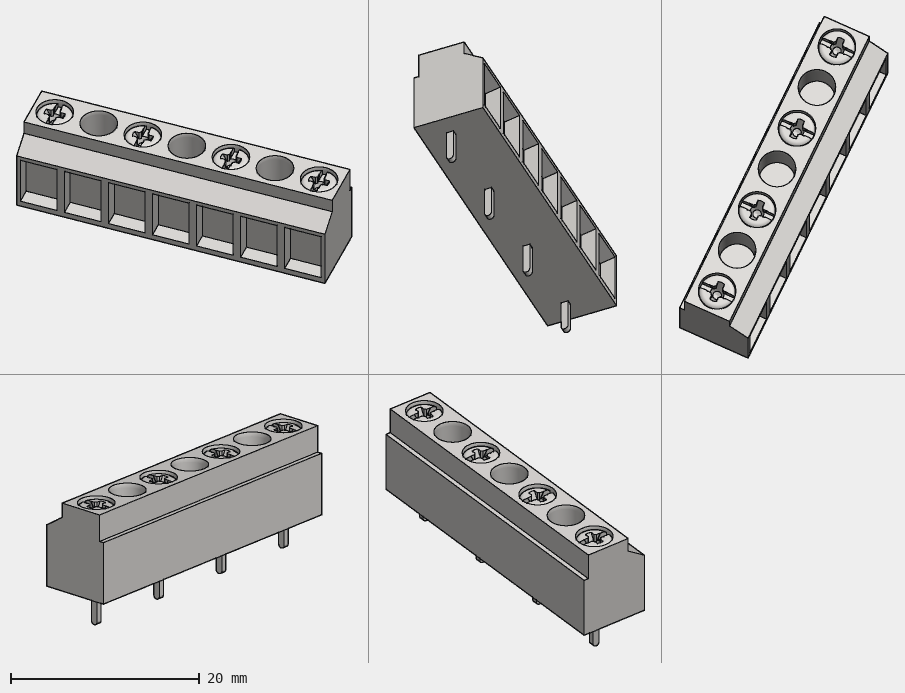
import cadquery as cq
import math

length = 35
depth = 8.0
height = 10.0
poles = 7
pitch = length / poles
shelf_height = 7.0
rear_step = 0.55
front_setback = 2.17
slope_top = 8.4

pocket_width = 4.13
pocket_floor = 0.7
pocket_ceiling = 6.5
pocket_depth = 1.7
ceiling_drop = 0.3

screw_y = 4.8
mouth_radius = 4.0 / 2
bore_radius = 3.85 / 2
mouth_depth = 0.5
bore_top = height - mouth_depth

clamp_top = 6.15
clamp_rear = screw_y + bore_radius

head_flat_radius = 1.45
head_crown = 0.28
head_top = bore_top + head_crown

slot_width = 0.65
slot_depth = 0.75
cross_arm_width = 0.75
cross_reach = 1.12
cross_core_radius = 0.65
cross_tip_radius = 0.45
cross_half_angle = math.radians(26.5)
cross_taper_depth = (cross_reach - cross_tip_radius) / math.tan(cross_half_angle)
cross_tip_height = 0.25
cross_depth = cross_taper_depth + cross_tip_height

pin_width = 0.65
pin_thickness = 0.8
pin_length = 3.78

pole_positions = [(i + 0.5) * pitch for i in range(poles)]
terminal_positions = pole_positions[::2]


def spin(half_profile):
    """Solid of revolution about the Z axis from a closed half profile in the XZ plane."""
    return half_profile.revolve(360, (0, 0), (0, 1))


def make_pocket(x):
    """Wire entry pocket with a ceiling that slopes down towards its back wall."""
    outline = [
        (0, pocket_floor),
        (pocket_depth, pocket_floor),
        (pocket_depth, pocket_ceiling - ceiling_drop),
        (0, pocket_ceiling),
    ]
    start = cq.Workplane("YZ", origin=(x - pocket_width / 2, 0, 0))
    return start.polyline(outline).close().extrude(pocket_width)


def make_opening(x):
    """Round opening in the top: straight bore with a flared mouth."""
    half_profile = (
        cq.Workplane("XZ")
        .moveTo(0, clamp_top)
        .lineTo(bore_radius, clamp_top)
        .lineTo(bore_radius, bore_top)
        .tangentArcPoint((mouth_radius, height), relative=False)
        .lineTo(0, height)
        .close()
    )
    return spin(half_profile).translate((x, screw_y, 0))


def make_clamp_block(x):
    """Block behind a pocket, from the pocket floor up to the underside of the screw."""
    start = cq.Workplane("XY", origin=(x, pocket_depth, pocket_floor))
    return start.box(
        pocket_width,
        clamp_rear - pocket_depth,
        clamp_top - pocket_floor,
        centered=(True, False, False),
    )


def make_pin(x):
    """Flat solder pin with a fully rounded tip, reaching up to the clamp block."""
    half = pin_thickness / 2
    outline = (
        cq.Workplane("YZ", origin=(x - pin_width / 2, screw_y, 0))
        .moveTo(-half, pocket_floor)
        .lineTo(-half, half - pin_length)
        .threePointArc((0, -pin_length), (half, half - pin_length))
        .lineTo(half, pocket_floor)
        .close()
    )
    return outline.extrude(pin_width)


def make_driver_recess():
    """Slot and tapered cross, centred on the Z axis below the head top."""
    slot_base = cq.Workplane("XY", origin=(0, 0, head_top - slot_depth))
    slot = slot_base.rect(slot_width, 2 * mouth_radius).extrude(slot_depth)

    taper = [
        (0, head_top),
        (cross_reach, head_top),
        (cross_tip_radius, head_top - cross_taper_depth),
        (0, head_top - cross_depth),
    ]
    cone = spin(cq.Workplane("XZ").polyline(taper).close())

    cross_base = cq.Workplane("XY", origin=(0, 0, head_top - cross_depth))
    cross = cross_base.rect(2 * cross_reach, cross_arm_width).extrude(cross_depth)
    cross = cross.union(cross_base.rect(cross_arm_width, 2 * cross_reach).extrude(cross_depth))
    cross = cross.union(cross_base.circle(cross_core_radius).extrude(cross_depth))
    return slot.union(cross.intersect(cone))


def make_screw(x):
    """Screw filling the bore, its rounded edge tangent to the flat top."""
    half_profile = (
        cq.Workplane("XZ")
        .moveTo(0, clamp_top)
        .lineTo(0, head_top)
        .lineTo(head_flat_radius, head_top)
        .tangentArcPoint((bore_radius, bore_top), relative=False)
        .lineTo(bore_radius, clamp_top)
        .close()
    )
    screw = spin(half_profile).cut(make_driver_recess())
    return screw.translate((x, screw_y, 0))


def make_housing():
    """Stepped housing with pockets, openings and the seats of the terminals."""
    profile = [
        (0, 0),
        (depth, 0),
        (depth, shelf_height),
        (depth - rear_step, shelf_height),
        (depth - rear_step, height),
        (front_setback, height),
        (front_setback, slope_top),
        (0, shelf_height),
    ]
    body = cq.Workplane("YZ").polyline(profile).close().extrude(length)
    for x in pole_positions:
        body = body.cut(make_pocket(x)).cut(make_opening(x))
    for x in terminal_positions:
        body = body.cut(make_clamp_block(x)).cut(make_pin(x))
    return body


def make_terminal(x):
    """Terminal: solder pin, clamp block and screw in one piece."""
    return make_clamp_block(x).union(make_pin(x)).union(make_screw(x))


housing = make_housing()
terminals = [make_terminal(x) for x in terminal_positions]
terminal_solids = [terminal.solids().val() for terminal in terminals]
result = cq.Compound.makeCompound([housing.solids().val(), *terminal_solids])